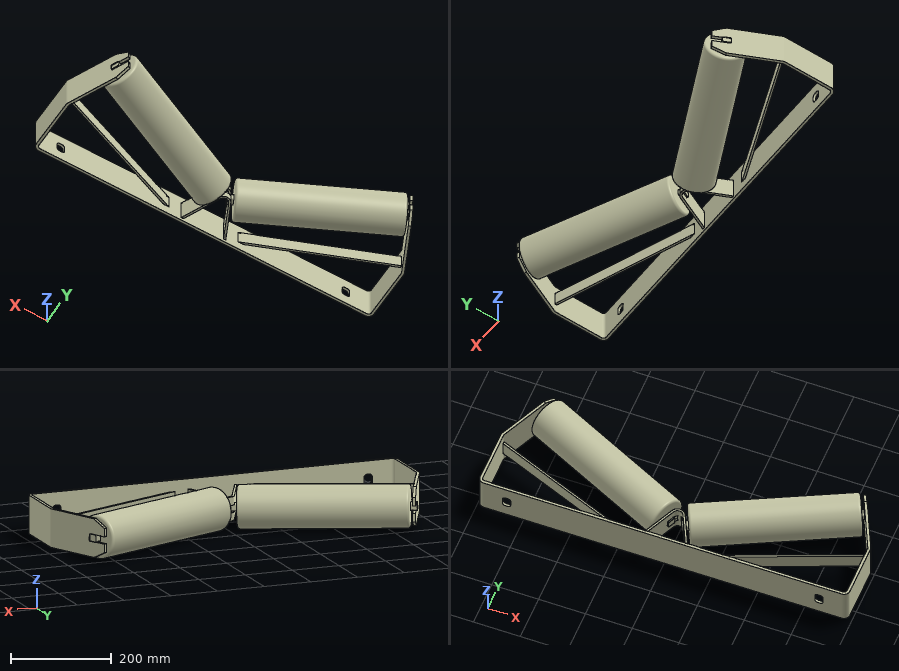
import cadquery as cq
import math

frame_length = 790.0
strip_height = 80.0
strip_thickness = 6.0
bend_radius = 13.0
wing_angle = 25.0
knee_y = 128.0
wing_tip_y = 261.0
tip_chamfer_length = 29.0
tip_chamfer_height = 15.0

mount_slot_spacing = 667.0
mount_slot_width = 17.0
mount_slot_height = 24.5
mount_slot_corner_radius = 6.0

bracket_half_base = 52.0
bracket_thickness = 5.0
bracket_height = 50.0
bracket_top_radius = 16.0

brace_thickness = 5.0
brace_height = 32.0
brace_foot_x = 80.5

roller_diameter = 89.0
roller_length = 345.0
roller_edge_radius = 5.5
roller_tilt = 1.1
roller_end_x = 336.0
roller_end_y = 228.0
shaft_width = 18.0
shaft_height = 15.0
shaft_edge_radius = 3.0
shaft_projection = 13.5
slot_reach = 43.5

SIDES = (-1, 1)
half_length = frame_length / 2
wing_sin = math.sin(math.radians(wing_angle))
wing_cos = math.cos(math.radians(wing_angle))
wing_tan = wing_sin / wing_cos
wing_tip_x = half_length - (wing_tip_y - knee_y) * wing_tan
inner_half_length = half_length - strip_thickness
inner_bend_radius = bend_radius - strip_thickness
inner_knee_y = knee_y - strip_thickness * math.tan(math.radians(wing_angle / 2))
roller_drop = roller_length * math.sin(math.radians(roller_tilt))
shaft_length = roller_length + 2 * shaft_projection


def mirrored(shape, side):
    """The left-hand shape itself for side -1, its mirror image for side 1."""
    return shape if side < 0 else shape.mirror("YZ")


def roller_plane():
    """Outer end of the left roller: normal along the axis towards the middle, X across the axis."""
    drop = math.radians(roller_tilt)
    axis = (wing_cos * math.cos(drop), -wing_sin * math.cos(drop), -math.sin(drop))
    return cq.Plane(origin=(-roller_end_x, roller_end_y, 0), xDir=(wing_sin, wing_cos, 0), normal=axis)


def along_shaft(width, offset=0):
    """Bar as long and as high as the left shaft, shifted across the axis towards the wing tip."""
    plane = roller_plane()
    start = plane.toWorldCoords((offset, 0, -shaft_projection))
    return (
        cq.Workplane(cq.Plane(origin=start, xDir=plane.xDir, normal=plane.zDir))
        .rect(width, shaft_height)
        .extrude(shaft_length)
    )


def shaft_solid():
    """Left roller's shaft: a rectangular bar with rounded long edges."""
    along_axis = cq.selectors.ParallelDirSelector(roller_plane().zDir)
    return along_shaft(shaft_width).edges(along_axis).fillet(shaft_edge_radius)


def shaft_slots():
    """Space of the left shaft, extended backwards so that the shaft can drop in."""
    return shaft_solid().union(along_shaft(slot_reach, slot_reach / 2))


def make_roller(side):
    barrel = cq.Workplane(roller_plane()).circle(roller_diameter / 2).extrude(roller_length)
    barrel = barrel.edges().fillet(roller_edge_radius)
    return mirrored(barrel.union(shaft_solid()), side)


def bent_block(half_width, front_y, bend_y, tip_points, corner_radius):
    """Block as wide as the frame, with its corners and knees rounded and its back ending at the tips."""
    left_half = [*tip_points, (-half_width, bend_y), (-half_width, front_y)]
    right_half = [(-x, y) for x, y in reversed(left_half)]
    block = cq.Workplane("XY").polyline(left_half + right_half).close().extrude(strip_height / 2, both=True)
    below_wings = cq.selectors.BoxSelector(
        (-frame_length, -strip_thickness, -strip_height),
        (frame_length, knee_y + strip_thickness, strip_height),
    )
    return block.edges("|Z").edges(below_wings).fillet(corner_radius)


def mount_slots():
    return (
        cq.Workplane("XZ")
        .pushPoints([(side * mount_slot_spacing / 2, 0) for side in SIDES])
        .rect(mount_slot_width, mount_slot_height)
        .extrude(-strip_thickness)
        .edges("|Y")
        .fillet(mount_slot_corner_radius)
    )


def tip_chamfers():
    """Corners removed above and below the tip of the left wing."""
    plane = cq.Plane(
        origin=(-wing_tip_x, wing_tip_y, 0),
        xDir=(wing_sin, wing_cos, 0),
        normal=(wing_cos, -wing_sin, 0),
    )
    top = strip_height / 2
    corner = [(0, top), (-tip_chamfer_length, top), (0, top - tip_chamfer_height)]
    upper = cq.Workplane(plane).polyline(corner).close().extrude(strip_thickness)
    return upper.union(upper.mirror("XY"))


def make_frame():
    outer_tip = (-wing_tip_x, wing_tip_y)
    inner_tip = (-wing_tip_x + strip_thickness * wing_cos, wing_tip_y - strip_thickness * wing_sin)
    outer = bent_block(half_length, 0, knee_y, [inner_tip, outer_tip], bend_radius)
    inner = bent_block(inner_half_length, strip_thickness, inner_knee_y, [inner_tip], inner_bend_radius)
    frame = outer.cut(inner).cut(mount_slots())
    for side in SIDES:
        frame = frame.cut(mirrored(tip_chamfers(), side))
        frame = frame.cut(mirrored(shaft_slots(), side))
    return frame


def bracket_wedge(half_base, top_radius):
    """Triangular prism on the front wall with its top rounded."""
    apex_y = strip_thickness + half_base / wing_tan
    wedge = (
        cq.Workplane("XY", origin=(0, 0, -roller_drop))
        .polyline([(-half_base, strip_thickness), (half_base, strip_thickness), (0, apex_y)])
        .close()
        .extrude(bracket_height / 2, both=True)
    )
    return wedge.edges("|Z").edges(">Y").fillet(top_radius)


def make_bracket():
    inner_half_base = bracket_half_base - bracket_thickness / wing_cos
    outer = bracket_wedge(bracket_half_base, bracket_top_radius)
    bracket = outer.cut(bracket_wedge(inner_half_base, bracket_top_radius - bracket_thickness))
    for side in SIDES:
        bracket = bracket.cut(mirrored(shaft_slots(), side))
    return bracket


def make_brace(side, frame):
    run = inner_half_length - brace_foot_x
    rise = knee_y - strip_thickness
    drop = brace_thickness * math.hypot(run, rise) / run
    foot_cut = drop * run / rise
    outline = [
        (-inner_half_length, knee_y),
        (-inner_half_length, knee_y - drop),
        (-brace_foot_x - foot_cut, strip_thickness),
        (-brace_foot_x, strip_thickness),
    ]
    brace = cq.Workplane("XY").polyline(outline).close().extrude(brace_height / 2, both=True)
    return mirrored(brace, side).cut(frame)


frame = make_frame()
bracket = make_bracket()
rollers = [make_roller(side) for side in SIDES]
braces = [make_brace(side, frame) for side in SIDES]

bodies = [frame, bracket, *rollers, *braces]
result = cq.Compound.makeCompound([body.val() for body in bodies])